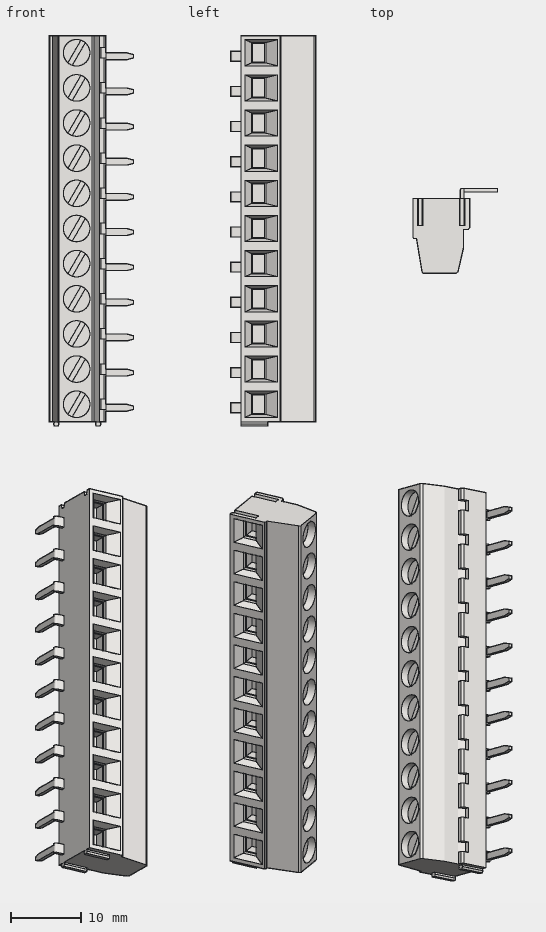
import cadquery as cq

total_height = 55.6
total_width = 12.05
total_depth = 12.1
rail_height = 0.6

pole_count = 11
pole_pitch = 5.0
top_pole_offset = 2.45
pole_heights = [total_height - top_pole_offset - pole_pitch * i for i in range(pole_count)]

back_y = 10.7
housing_width = 8.1
entry_step_y = 4.95
entry_step = 0.5
entry_step_chamfer = 0.15
flange_y = 6.2
flange_chamfer = 0.3
wall_x = 7.25
wall_taper_y = 3.65
nose_left = 1.45
nose_right = 6.15
nose_chamfer = 0.3
left_nose_bevel = 0.15

screw_x = 3.95
screw_diameter = 3.8
screw_recess = 1.2
slot_width = 0.7
slot_depth = 0.55
slot_angle = 60.0

entry_y = (5.45, 10.05)
entry_height = 3.7
throat_y = (7.1, 9.2)
throat_height = 2.9
funnel_depth = 1.2
throat_depth = 0.6
clamp_y = (7.3, 9.0)
clamp_height = 2.6
clamp_depth = 1.65

notch_height = 1.5
notch_depth = 1.1
notch_wall_slope = 0.2

rail_start_y = 6.85
left_rail_neck = (0.8, 1.35)
left_rail_bulge = (0.65, 1.45)
right_rail_neck = (6.7, 7.3)
right_rail_bulge = (6.6, 7.45)

pin_thickness = 0.55
pin_x = 6.7
pin_drop = 0.5
pin_root_width = 1.45
pin_width = 1.0
pin_tip_width = 0.5
pin_tip_length = 0.95
pin_embed = 0.55
pin_bend_radius = 0.35


def make_housing():
    outline = [
        (nose_left, 0),
        (nose_right, 0),
        (nose_right + nose_chamfer, nose_chamfer),
        (wall_x, wall_taper_y),
        (wall_x, flange_y),
        (housing_width - flange_chamfer, flange_y),
        (housing_width, flange_y + flange_chamfer),
        (housing_width, back_y),
        (0, back_y),
        (0, entry_step_y + entry_step_chamfer),
        (entry_step_chamfer, entry_step_y),
        (entry_step, entry_step_y),
        (nose_left - left_nose_bevel, nose_chamfer),
    ]
    base = cq.Workplane("XY").workplane(offset=rail_height)
    return base.polyline(outline).close().extrude(total_height - rail_height)


def make_screw_recess(z):
    """Round recess down to the screw head, with the driver slot across the head."""
    recess = cq.Workplane("XZ").center(screw_x, z).circle(screw_diameter / 2).extrude(-screw_recess)
    head = cq.Workplane("XZ").workplane(offset=-screw_recess).center(screw_x, z)
    slot = head.transformed(rotate=(0, 0, slot_angle)).rect(screw_diameter, slot_width).extrude(-slot_depth)
    head_limit = head.circle(screw_diameter / 2).extrude(-slot_depth)
    return recess.union(slot.intersect(head_limit))


def entry_section(x, y_range, height, z):
    """Rectangle across the wire direction, at depth x."""
    middle_y = sum(y_range) / 2
    plane = cq.Workplane("YZ").workplane(offset=x).center(middle_y, z)
    return plane.rect(y_range[1] - y_range[0], height)


def make_wire_entry(z):
    shift = sum(throat_y) / 2 - sum(entry_y) / 2
    funnel = (
        entry_section(0, entry_y, entry_height, z)
        .workplane(offset=funnel_depth)
        .center(shift, 0)
        .rect(throat_y[1] - throat_y[0], throat_height)
        .loft(combine=True)
    )
    throat = entry_section(funnel_depth, throat_y, throat_height, z).extrude(throat_depth)
    clamp = entry_section(funnel_depth + throat_depth, clamp_y, clamp_height, z).extrude(clamp_depth)
    return funnel.union(throat).union(clamp)


def make_flange_notch(z):
    """Notch open to the front and side of the flange, with a sloping inner wall."""
    outline = [
        (wall_x, flange_y),
        (housing_width, flange_y),
        (housing_width, flange_y + notch_depth),
        (wall_x + notch_wall_slope, flange_y + notch_depth),
    ]
    base = cq.Workplane("XY").workplane(offset=z - notch_height / 2)
    return base.polyline(outline).close().extrude(notch_height)


def extrude_to_back(outline):
    """Extrude an XZ outline from the closed end of the rails to the housing back."""
    base = cq.Workplane("XZ").workplane(offset=-rail_start_y)
    return base.polyline(outline).close().extrude(rail_start_y - back_y)


def make_rail(neck, bulge):
    """Rail under the housing, widest at half its height."""
    middle_z = rail_height / 2
    return extrude_to_back([
        (neck[0], 0),
        (neck[1], 0),
        (bulge[1], middle_z),
        (neck[1], rail_height),
        (neck[0], rail_height),
        (bulge[0], middle_z),
    ])


def make_groove(neck, bulge):
    """Groove in the housing top, flaring from the rail neck to the rail bulge."""
    floor_z = total_height - rail_height
    return extrude_to_back([
        (neck[0], floor_z),
        (neck[1], floor_z),
        (bulge[1], total_height),
        (bulge[0], total_height),
    ])


def make_pin(z):
    """Wide root out of the back, bent towards +X into a narrow leg with a tapered tip."""
    root_start = back_y - pin_embed
    root_length = total_depth - root_start
    root = (
        cq.Workplane("XY")
        .box(pin_thickness, root_length, pin_root_width, centered=(False, False, True))
        .edges("<X and >Y")
        .fillet(pin_bend_radius)
        .translate((pin_x, root_start, z))
    )
    leg_start = pin_x + pin_thickness
    taper_x = total_width - pin_tip_length
    leg_outline = [
        (leg_start, z - pin_width / 2),
        (taper_x, z - pin_width / 2),
        (total_width, z - pin_tip_width / 2),
        (total_width, z + pin_tip_width / 2),
        (taper_x, z + pin_width / 2),
        (leg_start, z + pin_width / 2),
    ]
    leg_plane = cq.Workplane("XZ").workplane(offset=-total_depth)
    leg = leg_plane.polyline(leg_outline).close().extrude(pin_thickness)
    return root.union(leg)


result = make_housing()
for neck_x, bulge_x in ((left_rail_neck, left_rail_bulge), (right_rail_neck, right_rail_bulge)):
    result = result.cut(make_groove(neck_x, bulge_x))
    result = result.union(make_rail(neck_x, bulge_x))
for pole_z in pole_heights:
    result = result.cut(make_screw_recess(pole_z))
    result = result.cut(make_wire_entry(pole_z))
    result = result.cut(make_flange_notch(pole_z))
    result = result.union(make_pin(pole_z - pin_drop))